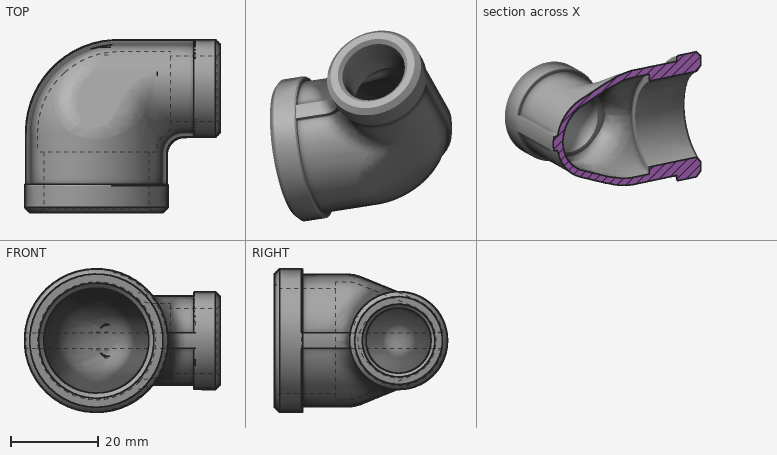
import cadquery as cq
import math


port_reach = 28.5
large_collar_dia = 33.0
small_collar_dia = 22.5
large_collar_length = 6.5
small_collar_length = 6.1
collar_chamfer = 1.2
collar_rounding = 0.35

large_rib_radius = 16.25
rib_height = 1.0
rib_width = 3.6
rib_foot_fillet = 0.3

wall = 1.7
large_thread_dia = 24.12
large_thread_mouth_dia = 26.44
large_thread_length = 14.0
small_thread_dia = 14.95
small_thread_mouth_dia = 16.66
small_thread_length = 11.5

bend_center_x = 5.2
crotch_fillet = 5.0
roof_fillet = 7.5
rim_end_x = 14.0
rim_end_gap = 0.8

small_rib_radius = small_collar_dia / 2
large_outer_radius = large_rib_radius - rib_height
small_outer_radius = small_rib_radius - rib_height
bend_center_y = small_outer_radius - large_outer_radius - bend_center_x
roof_slope = 2 * math.atan(large_outer_radius / small_outer_radius) - math.pi / 2
body_y_end = -port_reach + large_collar_length / 2
body_x_end = port_reach - small_collar_length + collar_rounding
big = 4 * port_reach
tolerance = 0.01


def cylinder_y(radius, y_start, y_end):
    """Cylinder on the large port axis."""
    return cq.Workplane("XZ", origin=(0, y_start, 0)).circle(radius).extrude(y_start - y_end)


def cylinder_x(radius, x_start, x_end):
    """Cylinder on the small port axis."""
    return cq.Workplane("YZ", origin=(x_start, 0, 0)).circle(radius).extrude(x_end - x_start)


def block_from(x_max, y_min):
    """Large block filling X < x_max, Y > y_min."""
    return cq.Workplane().box(big, big, big).translate((x_max - big / 2, y_min + big / 2, 0))


def bend(large_radius):
    """Outer half of the elbow: half the large circle turned 90 degrees about the bend axis."""
    return (
        cq.Workplane("XZ", origin=(bend_center_x, bend_center_y, 0))
        .moveTo(-bend_center_x, large_radius)
        .threePointArc((-bend_center_x - large_radius, 0), (-bend_center_x, -large_radius))
        .close()
        .revolve(90, (0, 0), (0, -1))
    )


def joined_pipes(large_radius, small_radius, fillet, y_end, x_end):
    """Two crossing pipes, filleted where they meet, with the outer bend in place of the corner."""
    pipes = cylinder_y(large_radius, y_end, port_reach)
    pipes = pipes.union(cylinder_x(small_radius, bend_center_x, x_end))
    around_joint = cq.selectors.BoxSelector(
        (bend_center_x, -large_radius, -large_radius),
        (large_radius, large_radius, large_radius),
    )
    pipes = pipes.edges(around_joint).edges("not %CIRCLE").fillet(fillet)
    pipes = pipes.cut(block_from(0, bend_center_y))
    pipes = pipes.cut(block_from(bend_center_x, bend_center_y + bend_center_x))
    return pipes.union(bend(large_radius))


def roof_prism(small_radius):
    """Prism along X: the small circle on the +Y side, opening toward -Y along its two tangents."""
    touch_y = small_radius * math.sin(roof_slope)
    touch_z = small_radius * math.cos(roof_slope)
    far_y = -2 * port_reach
    far_z = touch_z + (touch_y - far_y) * math.tan(roof_slope)
    return (
        cq.Workplane("YZ", origin=(-port_reach, 0, 0))
        .moveTo(far_y, far_z)
        .lineTo(touch_y, touch_z)
        .threePointArc((small_radius, 0), (touch_y, -touch_z))
        .lineTo(far_y, -far_z)
        .close()
        .extrude(3 * port_reach)
    )


def lies_on(edge, shape):
    """Whether the middle of an edge touches a shape."""
    middle = cq.Vertex.makeVertex(*edge.positionAt(0.5).toTuple())
    return middle.distance(shape) < tolerance


def is_roof_rim(edge, roof):
    """Curved edge on the surface of the roof prism that does not lie in a trimming plane."""
    box = edge.BoundingBox()
    curved = edge.geomType() in ("BSPLINE", "ELLIPSE")
    in_trim_plane = min(box.xlen, box.ylen) < tolerance
    return curved and not in_trim_plane and lies_on(edge, roof)


def elbow_body(large_radius, small_radius, crotch, rim_fillet, y_end, x_end):
    """Elbow with sloping flats above and below, the rims of the flats rounded."""
    prism = roof_prism(small_radius)
    roof = prism.shells().val()
    upper_space = cq.Workplane().box(big, big, big).translate((0, 0, big / 2))
    upper = joined_pipes(large_radius, small_radius, crotch, y_end, x_end).intersect(prism)
    upper = upper.intersect(upper_space)
    corner = cq.Workplane().box(big, big, big).translate(
        (rim_end_x - big / 2, small_radius - rim_end_gap - big / 2, 0)
    )
    rounded = upper.intersect(corner)
    rims = [edge for edge in rounded.edges().vals() if is_roof_rim(edge, roof)]
    upper = rounded.newObject(rims).fillet(rim_fillet).union(upper.cut(corner))
    return upper.union(upper.mirror("XY"))


def add_rib(body):
    """Add a flat-sided rib all round the elbow in the plane Z = 0, with fillets along its foot."""
    rib = joined_pipes(large_rib_radius, small_rib_radius, crotch_fillet - rib_height, body_y_end, body_x_end)
    rib = rib.intersect(roof_prism(small_rib_radius))
    rib = rib.intersect(cq.Workplane().box(big, big, rib_width))
    ribbed = body.union(rib)

    def is_rib_foot(edge):
        on_rib_side = abs(abs(edge.positionAt(0.5).z) - rib_width / 2) < tolerance
        return on_rib_side and lies_on(edge, body.val())

    feet = [edge for edge in ribbed.edges().vals() if is_rib_foot(edge)]
    return ribbed.newObject(feet).fillet(rib_foot_fillet)


def finish_collar(collar, front, back):
    """Chamfer the front edge of a collar and round its back edge."""
    return collar.edges(front).chamfer(collar_chamfer).edges(back).fillet(collar_rounding)


def cavity():
    """Inside of the elbow, one wall thickness within the body, up to the inner ends of the threads."""
    space = elbow_body(
        large_outer_radius - wall,
        small_outer_radius - wall,
        crotch_fillet + wall,
        roof_fillet - wall,
        -port_reach,
        port_reach,
    )
    inner_y_end = -port_reach + large_thread_length
    inner_x_end = port_reach - small_thread_length
    return space.intersect(block_from(inner_x_end, inner_y_end))


def countersink(bore_dia, mouth_dia, face_center, inward):
    """45 degree cone from the mouth diameter at the port face down to the bore diameter."""
    depth = (mouth_dia - bore_dia) / 2
    cone = cq.Solid.makeCone(
        mouth_dia / 2, bore_dia / 2, depth, cq.Vector(*face_center), cq.Vector(*inward)
    )
    return cq.Workplane(cone)


def thread_bores():
    """Thread bores of both ports, each with a 45 degree countersunk mouth."""
    large_bore = cylinder_y(large_thread_dia / 2, -port_reach, -port_reach + large_thread_length)
    small_bore = cylinder_x(small_thread_dia / 2, port_reach - small_thread_length, port_reach)
    large_mouth = countersink(large_thread_dia, large_thread_mouth_dia, (0, -port_reach, 0), (0, 1, 0))
    small_mouth = countersink(small_thread_dia, small_thread_mouth_dia, (port_reach, 0, 0), (-1, 0, 0))
    return large_bore.union(large_mouth).union(small_bore).union(small_mouth)


body = elbow_body(
    large_outer_radius, small_outer_radius, crotch_fillet, roof_fillet, body_y_end, body_x_end
)
body = add_rib(body)

large_collar = cylinder_y(large_collar_dia / 2, -port_reach, -port_reach + large_collar_length)
small_collar = cylinder_x(small_collar_dia / 2, port_reach - small_collar_length, port_reach)
body = body.union(finish_collar(large_collar, "<Y", ">Y"))
body = body.union(finish_collar(small_collar, ">X", "<X"))

result = body.cut(cavity()).cut(thread_bores())